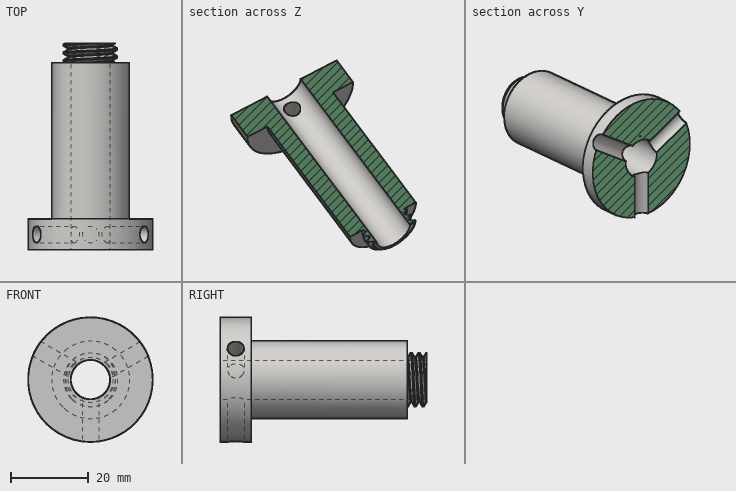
import cadquery as cq
import math

total_length = 53.0
flange_thickness = 8.0
thread_length = 5.0
shoulder_y = total_length - thread_length

flange_diameter = 32.0
body_diameter = 20.0
bore_diameter = 10.0

radial_hole_diameter = 4.25
radial_hole_count = 3
first_hole_angle = 30.0

thread_major_diameter = 13.85
thread_minor_diameter = 11.55
thread_pitch = 2.0
thread_flank_angle = 30.0
thread_crest_width = 0.35
crest_depth_at_plus_x = 1.5
thread_root_overlap = 0.1
thread_start_y = total_length - crest_depth_at_plus_x - 3 * thread_pitch
thread_turns = 5


def cylinder(diameter, start_y, end_y):
    """Cylinder about the Y axis between two Y positions."""
    plane = cq.Workplane("XZ", origin=(0, start_y, 0))
    return plane.circle(diameter / 2).extrude(start_y - end_y)


def thread_ridge():
    """Helical ridge about Y, running past both ends of the threaded length."""
    major_radius = thread_major_diameter / 2
    root_radius = thread_minor_diameter / 2 - thread_root_overlap
    half_crest = thread_crest_width / 2
    flank_rise = (major_radius - root_radius) * math.tan(math.radians(thread_flank_angle))
    half_root = half_crest + flank_rise

    helix = cq.Wire.makeHelix(thread_pitch, thread_turns * thread_pitch, root_radius)
    return (
        cq.Workplane("XZ")
        .moveTo(root_radius, -half_root)
        .lineTo(major_radius, -half_crest)
        .lineTo(major_radius, half_crest)
        .lineTo(root_radius, half_root)
        .close()
        .sweep(cq.Workplane(obj=helix), isFrenet=True)
        .rotate((0, 0, 0), (1, 0, 0), -90)
        .translate((0, thread_start_y, 0))
    )


def threaded_stub():
    """Core with its thread, trimmed flush at the shoulder and at the threaded end."""
    core = cylinder(thread_minor_diameter, flange_thickness, total_length + 2 * thread_pitch)
    envelope = cylinder(body_diameter, shoulder_y, total_length)
    return core.union(thread_ridge()).intersect(envelope)


def radial_hole(angle):
    """Hole from the axis outward through the flange rim, at mid-thickness."""
    plane = cq.Workplane("YZ", origin=(0, flange_thickness / 2, 0))
    hole = plane.circle(radial_hole_diameter / 2).extrude(flange_diameter)
    return hole.rotate((0, 0, 0), (0, 1, 0), -angle)


result = cylinder(flange_diameter, 0, flange_thickness)
result = result.union(cylinder(body_diameter, flange_thickness, shoulder_y))
result = result.union(threaded_stub())

result = result.cut(cylinder(bore_diameter, 0, total_length))

for index in range(radial_hole_count):
    result = result.cut(radial_hole(first_hole_angle + index * 360 / radial_hole_count))